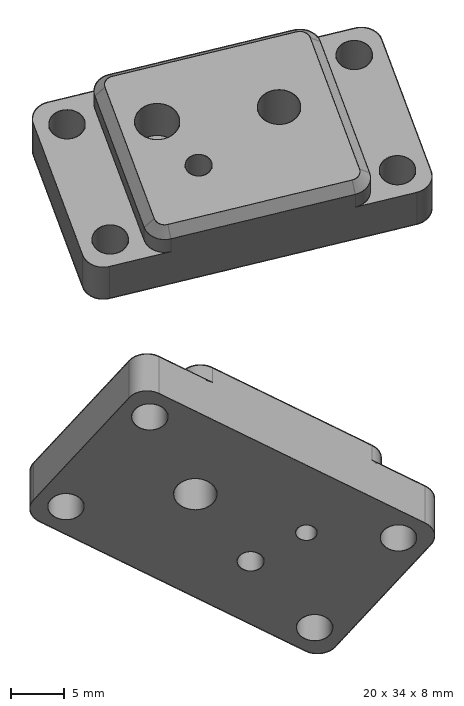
import cadquery as cq

width = 20.0
length = 34.0
total_height = 8.0
base_height = 5.0
block_length = 22.0
corner_radius = 2.0
top_chamfer = 1.0

mount_diameter = 3.4
mount_x = 7.0
mount_y = 14.0

large_diameter = 4.05
large_center = (-1.1, 4.9)
small_diameter = 2.5
small_center = (3.23, -4.25)

bore_center = (-2.75, -6.5)
bore_diameter = 2.0
counterbore_diameter = 4.2
counterbore_depth = base_height


def rounded_plate(plate_length, height):
    """Full-width plate standing on Z = 0 with rounded vertical edges."""
    plate = cq.Workplane("XY").box(width, plate_length, height, centered=(True, True, False))
    return plate.edges("|Z").fillet(corner_radius)


def drill(center, diameter, bottom=0.0):
    """Cylinder from the given bottom level up to the top face."""
    cylinder = cq.Workplane("XY").workplane(offset=bottom).center(*center)
    return cylinder.circle(diameter / 2).extrude(total_height - bottom)


base = rounded_plate(length, base_height)
block = rounded_plate(block_length, total_height).faces(">Z").edges().chamfer(top_chamfer)
result = base.union(block)

for x in (-mount_x, mount_x):
    for y in (-mount_y, mount_y):
        result = result.cut(drill((x, y), mount_diameter))

result = result.cut(drill(large_center, large_diameter))
result = result.cut(drill(small_center, small_diameter))
result = result.cut(drill(bore_center, bore_diameter))
result = result.cut(drill(bore_center, counterbore_diameter, total_height - counterbore_depth))